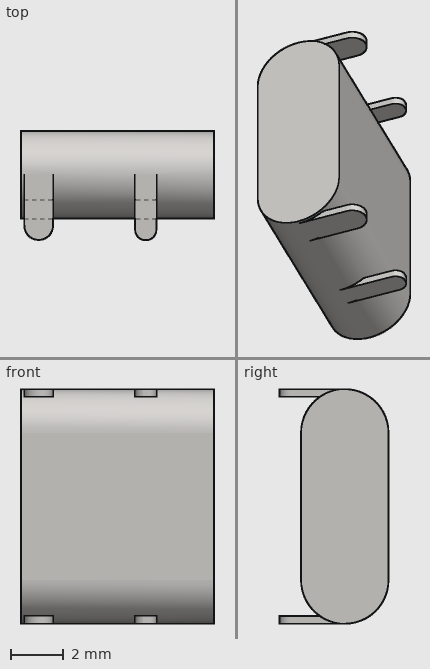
import cadquery as cq
import math

body_length = 7.35
body_thickness = 3.34
body_height = 8.94

overall_depth = 4.16
tab_thickness = 0.3
tab_reach = overall_depth - body_thickness / 2

wide_tab_gap = 0.125
wide_tab_width = 1.1
narrow_tab_gap = 4.34
narrow_tab_width = 0.82
narrow_tab_flat = 0.2

tab_bottoms = (-body_height / 2, body_height / 2 - tab_thickness)


def make_body():
    """Rounded block centred on the origin, with its flat end faces normal to X."""
    return (
        cq.Workplane("YZ")
        .slot2D(body_height, body_thickness, angle=90)
        .extrude(body_length / 2, both=True)
    )


def wide_tab_outline(bottom):
    """Strip with a full half-round tip."""
    radius = wide_tab_width / 2
    left = wide_tab_gap - body_length / 2
    right = left + wide_tab_width
    shoulder = radius - tab_reach
    return (
        cq.Workplane("XY", origin=(0, 0, bottom))
        .moveTo(left, 0)
        .lineTo(left, shoulder)
        .threePointArc((left + radius, -tab_reach), (right, shoulder))
        .lineTo(right, 0)
        .close()
    )


def narrow_tab_outline(bottom):
    """Strip with a round tip that is cut by a small flat."""
    radius = narrow_tab_width / 2
    center_x = narrow_tab_gap + radius - body_length / 2
    flat_distance = math.sqrt(radius**2 - (narrow_tab_flat / 2) ** 2)
    shoulder = flat_distance - tab_reach
    diagonal = radius * math.cos(math.radians(45))
    return (
        cq.Workplane("XY", origin=(center_x, 0, bottom))
        .moveTo(-radius, 0)
        .lineTo(-radius, shoulder)
        .threePointArc((-diagonal, shoulder - diagonal), (-narrow_tab_flat / 2, -tab_reach))
        .lineTo(narrow_tab_flat / 2, -tab_reach)
        .threePointArc((diagonal, shoulder - diagonal), (radius, shoulder))
        .lineTo(radius, 0)
        .close()
    )


result = make_body()
for tab_bottom in tab_bottoms:
    result = result.union(wide_tab_outline(tab_bottom).extrude(tab_thickness))
    result = result.union(narrow_tab_outline(tab_bottom).extrude(tab_thickness))